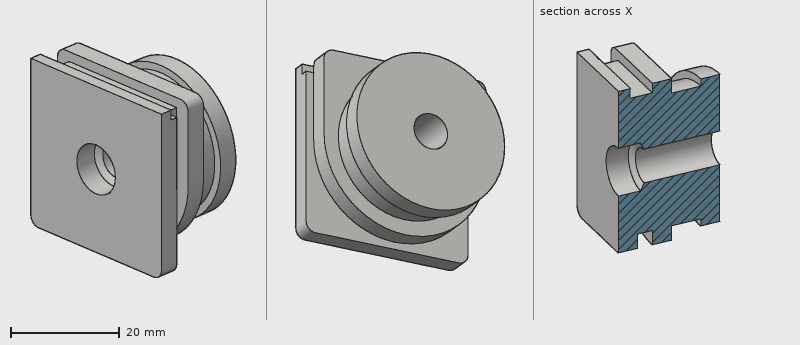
import cadquery as cq

plate_side = 34.0
total_depth = 21.0

front_slab_depth = 2.5
ledge_depth = 1.5
gap_depth = 3.0
flange_depth = 4.0
rim_depth = 4.0
ledge_y = front_slab_depth
boss_y = ledge_y + ledge_depth
flange_y = boss_y + gap_depth
neck_y = flange_y + flange_depth
rim_y = total_depth - rim_depth

corner_radius = 2.0
top_step = 2.0
neck_diameter = 28.0
rim_diameter = 31.0

counterbore_diameter = 10.0
bore_diameter = 7.0
counterbore_depth = 4.6
taper_depth = 0.7

half_side = plate_side / 2
shoulder_height = half_side - top_step


def plane_at(y):
    """XZ plane at depth y whose extrusions run toward +Y; its local x is -X."""
    return cq.Workplane(cq.Plane(origin=(0, y, 0), xDir=(-1, 0, 0), normal=(0, 1, 0)))


def disc(diameter, y, depth):
    return plane_at(y).circle(diameter / 2).extrude(depth)


def arch(width, top, y, depth):
    """Straight-sided block whose underside is a half circle."""
    half = width / 2
    return (
        plane_at(y)
        .moveTo(half, 0)
        .lineTo(half, top)
        .lineTo(-half, top)
        .lineTo(-half, 0)
        .threePointArc((0, -half), (half, 0))
        .close()
        .extrude(depth)
    )


def stepped_plate():
    """Square plate with rounded bottom corners and a low ledge along its top back edge."""
    plate = plane_at(0).rect(plate_side, plate_side).extrude(boss_y)
    plate = plate.edges("|Y and <Z").fillet(corner_radius)
    step = (
        plane_at(ledge_y)
        .center(0, half_side - top_step / 2)
        .rect(plate_side, top_step)
        .extrude(ledge_depth)
    )
    return plate.cut(step)


def flange():
    body = arch(plate_side, half_side, flange_y, flange_depth)
    return body.edges("|Y and >Z").fillet(corner_radius)


def stepped_bore():
    """Through bore with a cone-floored counterbore in the front face, as a cutting tool."""
    return (
        cq.Workplane("XY")
        .polyline([
            (0, 0),
            (counterbore_diameter / 2, 0),
            (counterbore_diameter / 2, counterbore_depth),
            (bore_diameter / 2, counterbore_depth + taper_depth),
            (bore_diameter / 2, total_depth),
            (0, total_depth),
        ])
        .close()
        .revolve(360, (0, 0, 0), (0, 1, 0))
    )


result = (
    stepped_plate()
    .union(arch(neck_diameter, shoulder_height, boss_y, gap_depth))
    .union(flange())
    .union(disc(neck_diameter, neck_y, rim_y - neck_y))
    .union(disc(rim_diameter, rim_y, rim_depth))
    .cut(stepped_bore())
)